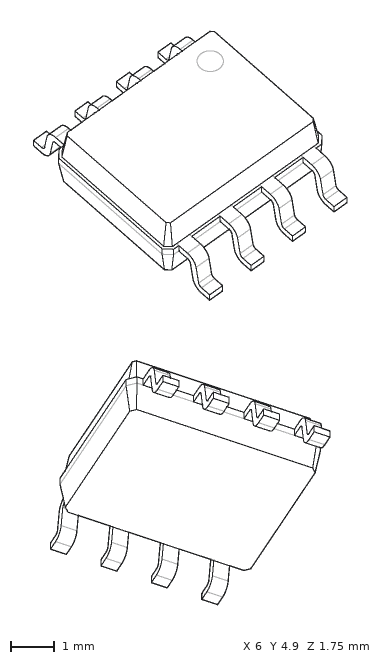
import cadquery as cq
import math

body_length = 4.9
body_width = 3.9
lead_span = 6.0
total_height = 1.75
standoff = 0.1

corner_chamfer = 0.185
upper_step = 0.075
upper_draft = 9.4
lower_draft = 9.0

lead_count_per_side = 4
lead_pitch = 1.27
lead_width = 0.4
lead_thickness = 0.2
inner_bend_radius = 0.1
outer_bend_radius = inner_bend_radius + lead_thickness
lead_lean = 10.0
foot_flat = 0.275

mark_radius = 0.3
mark_edge_distance = 0.84
mark_depth = 0.05

band_middle = (standoff + total_height) / 2
band_bottom = band_middle - lead_thickness / 2
band_top = band_middle + lead_thickness / 2


def chamfered_outline(inset, level):
    """Body outline with cut corners, drawn at a height and moved inward evenly."""
    chamfer = corner_chamfer - inset * (2 - math.sqrt(2))
    width = body_width - 2 * inset
    length = body_length - 2 * inset
    return cq.Sketch().rect(width, length).vertices().chamfer(chamfer).moved(
        cq.Location(cq.Vector(0, 0, level))
    )


def make_body():
    """Parting band with a tapered half above and below it."""
    band = cq.Workplane().placeSketch(chamfered_outline(0, band_bottom)).extrude(lead_thickness)

    upper_height = total_height - band_top
    upper_inset = upper_step + upper_height * math.tan(math.radians(upper_draft))
    upper = (
        cq.Workplane()
        .placeSketch(chamfered_outline(upper_step, band_top), chamfered_outline(upper_inset, total_height))
        .loft()
    )

    lower_inset = (band_bottom - standoff) * math.tan(math.radians(lower_draft))
    lower = (
        cq.Workplane()
        .placeSketch(chamfered_outline(lower_inset, standoff), chamfered_outline(0, band_bottom))
        .loft()
    )
    return band.union(upper).union(lower)


def point_on_bend(center, radius, angle):
    """Point at the given angle, in degrees from +X, on a circle about the bend centre."""
    radians = math.radians(angle)
    return (center[0] + radius * math.cos(radians), center[1] + radius * math.sin(radians))


def make_lead():
    """One lead on the +X side, centred on Y = 0 and running into the body."""
    lean = math.radians(lead_lean)
    toe = lead_span / 2
    root = body_width / 2 - upper_step

    lower_center = (toe - foot_flat, outer_bend_radius)
    upper_center_z = band_top - outer_bend_radius
    bend_sum = inner_bend_radius + outer_bend_radius
    center_rise = upper_center_z - lower_center[1]
    leg_length = (center_rise + bend_sum * math.sin(lean)) / math.cos(lean)
    center_run = bend_sum * math.cos(lean) + leg_length * math.sin(lean)
    upper_center = (lower_center[0] - center_run, upper_center_z)

    shoulder_end = 90
    shoulder_leg = lead_lean
    shoulder_middle = (shoulder_end + shoulder_leg) / 2
    foot_end = shoulder_end + 180
    foot_leg = shoulder_leg + 180
    foot_middle = shoulder_middle + 180

    profile = (
        cq.Workplane("XZ")
        .moveTo(root, band_top)
        .lineTo(upper_center[0], band_top)
        .threePointArc(
            point_on_bend(upper_center, outer_bend_radius, shoulder_middle),
            point_on_bend(upper_center, outer_bend_radius, shoulder_leg),
        )
        .lineTo(*point_on_bend(lower_center, inner_bend_radius, foot_leg))
        .threePointArc(
            point_on_bend(lower_center, inner_bend_radius, foot_middle),
            point_on_bend(lower_center, inner_bend_radius, foot_end),
        )
        .lineTo(toe, lead_thickness)
        .lineTo(toe, 0)
        .lineTo(lower_center[0], 0)
        .threePointArc(
            point_on_bend(lower_center, outer_bend_radius, foot_middle),
            point_on_bend(lower_center, outer_bend_radius, foot_leg),
        )
        .lineTo(*point_on_bend(upper_center, inner_bend_radius, shoulder_leg))
        .threePointArc(
            point_on_bend(upper_center, inner_bend_radius, shoulder_middle),
            point_on_bend(upper_center, inner_bend_radius, shoulder_end),
        )
        .lineTo(root, band_bottom)
        .close()
    )
    return profile.extrude(lead_width / 2, both=True)


def add_leads(part):
    """Fuse both rows of leads, each set in its own pocket so its faces stay whole."""
    right_lead = make_lead()
    left_lead = right_lead.mirror("YZ")
    first_y = -lead_pitch * (lead_count_per_side - 1) / 2
    for index in range(lead_count_per_side):
        lead_y = first_y + index * lead_pitch
        for lead in (right_lead, left_lead):
            placed_lead = lead.translate((0, lead_y, 0))
            part = part.cut(placed_lead, clean=False).union(placed_lead, clean=False)
    return part


def add_pin_mark(part):
    """Flush round inlay that leaves only its outline on the top face."""
    mark = (
        cq.Workplane(origin=(0, 0, total_height - mark_depth))
        .center(mark_edge_distance - body_width / 2, body_length / 2 - mark_edge_distance)
        .circle(mark_radius)
        .extrude(mark_depth)
    )
    return part.union(mark, clean=False)


result = add_pin_mark(add_leads(make_body()))